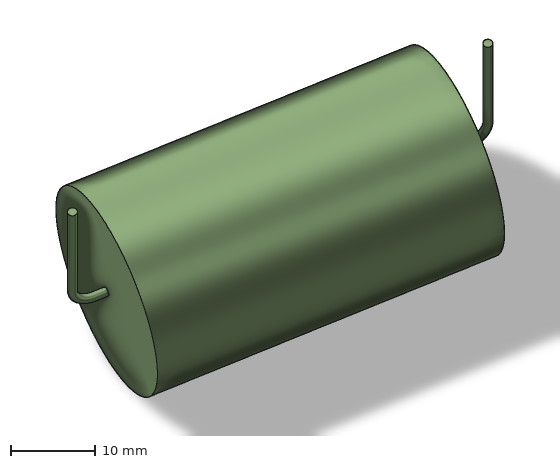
import cadquery as cq

overall_length = 56.2
overall_height = 32.5
body_diameter = 27.0
body_length = 45.95
wire_diameter = 1.2
bend_radius = 3.0

body_end = body_length / 2
lead_offset = (overall_length - wire_diameter) / 2
lead_top = overall_height - body_diameter / 2
bend_start = lead_offset - bend_radius


def make_body():
    end_face = cq.Workplane("XZ", origin=(0, body_end, 0))
    return end_face.circle(body_diameter / 2).extrude(body_length)


def make_lead():
    """Lead on the -Y end: straight out of the body, then bent up along +Z."""
    path = (
        cq.Workplane("YZ")
        .moveTo(-body_end, 0)
        .lineTo(-bend_start, 0)
        .tangentArcPoint((-lead_offset, bend_radius), relative=False)
        .lineTo(-lead_offset, lead_top)
    )
    profile = cq.Workplane("XZ", origin=(0, -body_end, 0)).circle(wire_diameter / 2)
    return profile.sweep(path)


lead = make_lead()
result = make_body().union(lead).union(lead.mirror("XZ"))